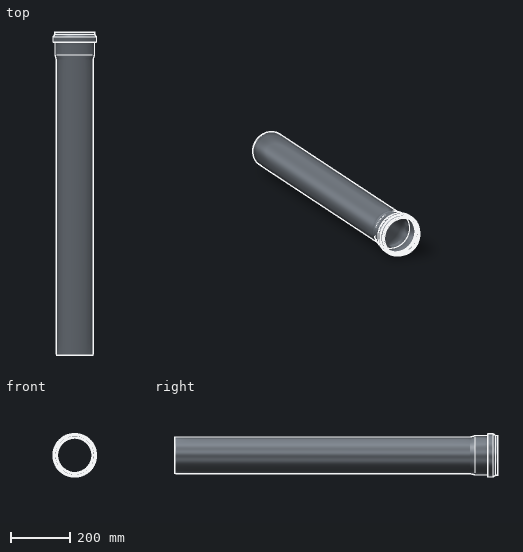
import cadquery as cq

LENGTH = 1089.0
PLAIN_END_Y = -LENGTH / 2
MOUTH_Y = LENGTH / 2

PIPE_DIAMETER = 125.0
PIPE_BORE = 115.0
SOCKET_DIAMETER = 134.0
SOCKET_BORE = 126.0
LIP_DIAMETER = 135.0
BEAD_DIAMETER = 147.0
BEAD_BACK_DIAMETER = 145.0
GROOVE_DIAMETER = 139.0

LIP_DEPTH = 8.0
BEAD_START = 16.0
BEAD_END = 33.0
BEAD_BACK = 35.0
SOCKET_DEPTH = 76.0
TAPER_END = 93.0

BEVEL_LENGTH = 5.0
BEVEL_HEIGHT = 1.6


def revolve_profile(stations):
    """Revolve (diameter, y) stations about the Y axis into a solid."""
    first_y = stations[0][1]
    last_y = stations[-1][1]
    points = [(0, first_y)]
    points += [(diameter / 2, y) for diameter, y in stations]
    points.append((0, last_y))
    return cq.Workplane("XY").polyline(points).close().revolve(360, (0, 0, 0), (0, 1, 0))


def outer_body():
    """Bevelled pipe, tapered shoulder, socket, raised bead and lip."""
    return revolve_profile([
        (PIPE_DIAMETER - 2 * BEVEL_HEIGHT, PLAIN_END_Y),
        (PIPE_DIAMETER, PLAIN_END_Y + BEVEL_LENGTH),
        (PIPE_DIAMETER, MOUTH_Y - TAPER_END),
        (SOCKET_DIAMETER, MOUTH_Y - SOCKET_DEPTH),
        (SOCKET_DIAMETER, MOUTH_Y - BEAD_BACK),
        (BEAD_BACK_DIAMETER, MOUTH_Y - BEAD_BACK),
        (BEAD_DIAMETER, MOUTH_Y - BEAD_END),
        (BEAD_DIAMETER, MOUTH_Y - BEAD_START),
        (LIP_DIAMETER, MOUTH_Y - LIP_DEPTH),
        (LIP_DIAMETER, MOUTH_Y),
    ])


def inner_cavity():
    """Pipe bore widening into the socket, with a seal groove under the bead."""
    return revolve_profile([
        (PIPE_BORE, PLAIN_END_Y),
        (PIPE_BORE, MOUTH_Y - TAPER_END),
        (SOCKET_BORE, MOUTH_Y - SOCKET_DEPTH),
        (SOCKET_BORE, MOUTH_Y - BEAD_END),
        (GROOVE_DIAMETER, MOUTH_Y - BEAD_END),
        (GROOVE_DIAMETER, MOUTH_Y - BEAD_START),
        (SOCKET_BORE, MOUTH_Y - LIP_DEPTH),
        (SOCKET_BORE, MOUTH_Y),
    ])


result = outer_body().cut(inner_cavity())